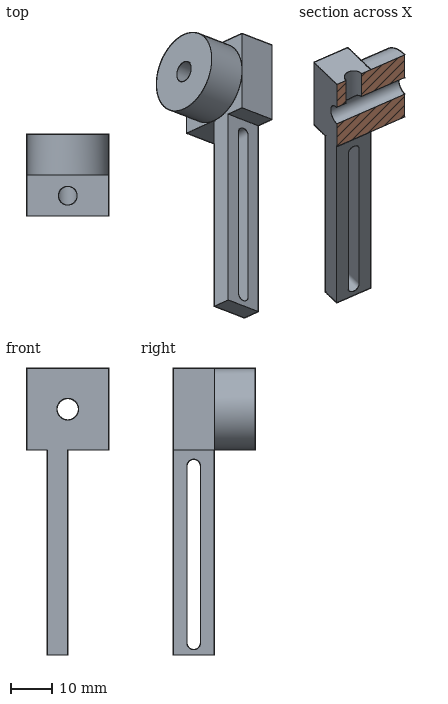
import cadquery as cq

total_height = 70.0
head_size = 20.0
head_depth = 10.0
boss_length = 10.0
arm_width = 5.05
bore_diameter = 5.2
set_screw_diameter = 4.55
slot_width = 3.2
slot_length = 46.35
slot_bottom_margin = 1.4

head_bottom = total_height - head_size
bore_height = total_height - head_size / 2
mid_depth = head_depth / 2
slot_center_height = slot_bottom_margin + slot_length / 2


def cylinder_along_y(diameter, start, length):
    """Cylinder on the bore axis, running toward +Y from the given start."""
    return cq.Workplane(
        cq.Solid.makeCylinder(
            diameter / 2, length, cq.Vector(0, start, bore_height), cq.Vector(0, 1, 0)
        )
    )


def make_head():
    """Square block with a round boss on its back face."""
    block = cq.Workplane("XY").box(head_size, head_depth, head_size, centered=(True, False, False))
    boss = cylinder_along_y(head_size, head_depth, boss_length)
    return block.translate((0, 0, head_bottom)).union(boss)


def make_arm():
    """Flat arm hanging below the head, with its +X face on the bore axis."""
    arm = cq.Workplane("XY").box(arm_width, head_depth, head_bottom, centered=(True, False, False))
    return arm.translate((-arm_width / 2, 0, 0))


def make_slot():
    """Round-ended slot crossing the arm along X."""
    return (
        cq.Workplane("YZ", origin=(-arm_width / 2, 0, 0))
        .center(mid_depth, slot_center_height)
        .slot2D(slot_length, slot_width, 90)
        .extrude(arm_width, both=True)
    )


def make_set_screw_hole():
    """Vertical hole from the top of the head into the bore."""
    return (
        cq.Workplane("XY", origin=(0, mid_depth, bore_height))
        .circle(set_screw_diameter / 2)
        .extrude(head_size / 2)
    )


bore = cylinder_along_y(bore_diameter, 0, head_depth + boss_length)

result = make_head().union(make_arm()).cut(bore).cut(make_set_screw_hole()).cut(make_slot())